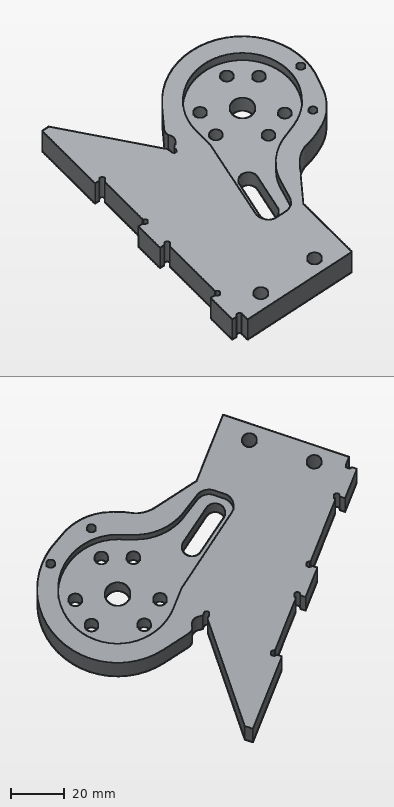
import cadquery as cq
import math

length = 116.0
thickness = 12.6
shoulder_height = 54.3
foot_height = 3.2
pocket_depth = 4.5

head_x, head_y = 36.0, 66.7
head_radius = 29.9
rim_width = 7.8
pocket_radius = head_radius - rim_width
bore_diameter = 9.5

bolt_circle_radius = 15.9
bolt_diameter = 5.1
pair_count = 3
first_pair_angle = 20.5
half_pair_angle = 22.0

rim_hole_diameter = 3.4
rim_holes = [(37.1, 93.6), (55.8, 84.3)]
mount_diameter = 5.6
mount_x = 109.6
mount_heights = [15.9, 41.5]

slot_start = (63.5, 47.3)
slot_end = (79.5, 44.1)
slot_width = 7.5

notches = [(31.3, 57.0), (69.7, 99.6)]
notch_depth = 3.2
step_x = 112.4
relief_radius = 1.2
relief_inset = 0.2
flare_start = 0.7
flare_end = 1.6
step_height = notch_depth + relief_radius


def polar(radius, angle):
    """Point at a radius and an angle in degrees about the head centre."""
    turn = math.radians(angle)
    return head_x + radius * math.cos(turn), head_y + radius * math.sin(turn)


def plate():
    """Outer outline, followed counterclockwise from the lower left corner."""
    outline = (
        cq.Workplane("XY")
        .lineTo(length, 0)
        .lineTo(length, shoulder_height)
        .lineTo(87.3, shoulder_height)
        .lineTo(72.6, 64.5)
        .threePointArc((69.1, 67.6), (67.2, 71.1))
        .threePointArc((65.5, 77.4), (63.1, 82.9))
        .threePointArc((58.7, 88.5), (51.6, 93.0))
        .lineTo(*polar(head_radius, 70))
        .threePointArc(polar(head_radius, 150), polar(head_radius, 235))
        .lineTo(28.1, 35.7)
        .threePointArc((29.6, 35.1), (31.0, 35.3))
        .threePointArc((33.5, 36.1), (36.0, 34.5))
        .lineTo(36.9, 33.3)
        .lineTo(37.9, 33.3)
        .threePointArc((39.0, 32.2), (37.9, 31.2))
        .lineTo(36.2, 31.2)
        .lineTo(0, foot_height)
        .close()
    )
    return outline.extrude(thickness)


def pocket():
    """Recess in the top face, round in the head with a tail around the slot."""
    outline = (
        cq.Workplane("XY", origin=(0, 0, thickness - pocket_depth))
        .moveTo(*polar(pocket_radius, -90))
        .lineTo(44.3, head_y - pocket_radius)
        .lineTo(79.7, 37.6)
        .threePointArc((84.1, 38.7), (86.0, 42.2))
        .lineTo(86.0, 47.5)
        .threePointArc((84.8, 50.2), (82.5, 52.0))
        .lineTo(75.3, 53.9)
        .threePointArc((64.5, 59.6), (58.9, 68.2))
        .lineTo(*polar(pocket_radius, 20))
        .threePointArc(polar(pocket_radius, 145), polar(pocket_radius, -90))
        .close()
    )
    return outline.extrude(pocket_depth)


def holes(points, diameter):
    return cq.Workplane("XY").pushPoints(points).circle(diameter / 2).extrude(thickness)


def bolt_points():
    points = []
    for pair in range(pair_count):
        middle = first_pair_angle + pair * 360 / pair_count
        for offset in (-half_pair_angle, half_pair_angle):
            points.append(polar(bolt_circle_radius, middle + offset))
    return points


def slot():
    run = slot_end[0] - slot_start[0]
    rise = slot_end[1] - slot_start[1]
    middle = (slot_start[0] + run / 2, slot_start[1] + rise / 2)
    angle = math.degrees(math.atan2(rise, run))
    overall = math.hypot(run, rise) + slot_width
    return cq.Workplane("XY").center(*middle).slot2D(overall, slot_width, angle).extrude(thickness)


def edge_cut(left, right, height):
    """Rectangular cut up from the lower edge."""
    return cq.Workplane("XY").moveTo(left, 0).rect(right - left, height, centered=False).extrude(thickness)


def flare(wall, direction):
    """Sloping cut from a corner relief down to the notch floor."""
    rise = math.sqrt(relief_radius**2 - (flare_start - relief_inset) ** 2)
    corners = [
        (wall + direction * relief_inset, notch_depth),
        (wall + direction * flare_end, notch_depth),
        (wall + direction * flare_start, notch_depth + rise),
    ]
    return cq.Workplane("XY").polyline(corners).close().extrude(thickness)


def lower_edge():
    """Notches and end step, with round corner reliefs."""
    cuts = edge_cut(step_x, length, step_height)
    reliefs = [(step_x + relief_inset, notch_depth)]
    for left, right in notches:
        cuts = cuts.union(edge_cut(left, right, notch_depth))
        cuts = cuts.union(flare(left, 1))
        cuts = cuts.union(flare(right, -1))
        reliefs.append((left + relief_inset, notch_depth))
        reliefs.append((right - relief_inset, notch_depth))
    return cuts.union(holes(reliefs, 2 * relief_radius))


result = (
    plate()
    .cut(pocket())
    .cut(slot())
    .cut(lower_edge())
    .cut(holes([(head_x, head_y)], bore_diameter))
    .cut(holes(bolt_points(), bolt_diameter))
    .cut(holes(rim_holes, rim_hole_diameter))
    .cut(holes([(mount_x, height) for height in mount_heights], mount_diameter))
)